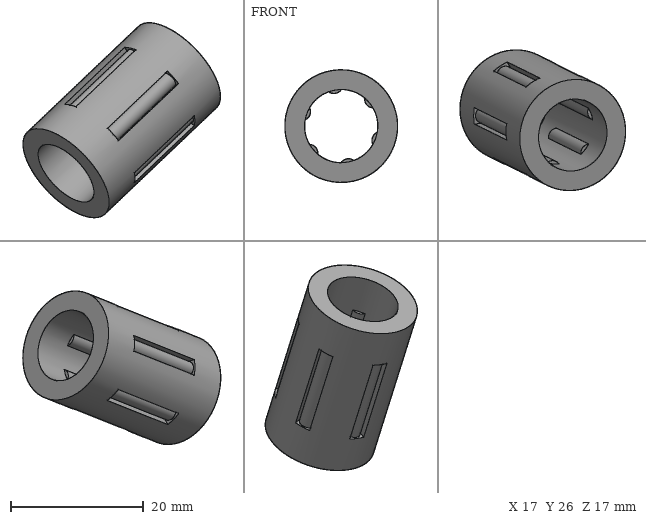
import cadquery as cq

LENGTH = 26.0
OUTER_DIAMETER = 17.0
BORE_DIAMETER = 11.0

STATION_COUNT = 6
WINDOW_LENGTH = 14.0
SLOT_WIDTH = 2.5
BEARING_ROLLER_DIAMETER = 2.7
SLOT_ROLLER_OFFSET = 6.97
BEARING_ROLLER_OFFSET = 6.35
BEARING_ROLLER_ANGLE = 40.0

STATION_PITCH = 360.0 / STATION_COUNT


def rod(diameter, length):
    """Solid cylinder along Y, centred on the origin."""
    return cq.Workplane("XZ").circle(diameter / 2).extrude(length / 2, both=True)


def around_axis(shape, start_angle):
    """Copies of a shape on the +X side, angles measured from +X toward +Z."""
    copies = cq.Workplane("XZ")
    for station in range(STATION_COUNT):
        angle = start_angle + station * STATION_PITCH
        copies = copies.add(shape.rotate((0, 0, 0), (0, 1, 0), -angle))
    return copies.vals()


def make_sleeve():
    return rod(OUTER_DIAMETER, LENGTH).cut(rod(BORE_DIAMETER, LENGTH))


def make_slot():
    """Cutter running outward through the wall, over the raised half-round roller."""
    opening = cq.Workplane("XY").box(
        OUTER_DIAMETER, WINDOW_LENGTH, SLOT_WIDTH, centered=(False, True, True)
    )
    roller = rod(SLOT_WIDTH, WINDOW_LENGTH)
    return opening.cut(roller).translate((SLOT_ROLLER_OFFSET, 0, 0))


def make_bearing_roller():
    """Roller set in the wall, standing proud of the bore."""
    return rod(BEARING_ROLLER_DIAMETER, WINDOW_LENGTH).translate((BEARING_ROLLER_OFFSET, 0, 0))


result = make_sleeve()
for slot in around_axis(make_slot(), 0):
    result = result.cut(cq.Workplane(slot))
for roller in around_axis(make_bearing_roller(), BEARING_ROLLER_ANGLE):
    result = result.union(cq.Workplane(roller))